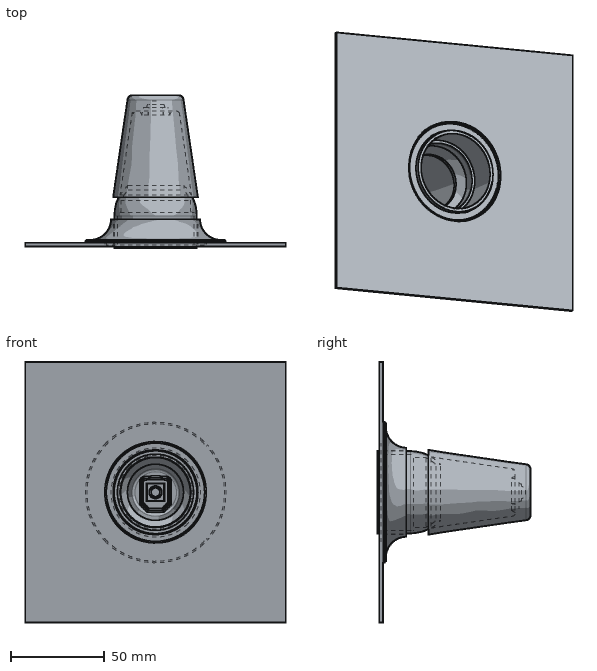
import cadquery as cq
import math


plate_side = 140.16
plate_thickness = 2.1
plate_front = 1.0
plate_back = plate_front + plate_thickness
plate_hole_radius = 27.3

flange_bore_radius = 22.65
flange_rim_radius = 37.8
flange_rim_thickness = 1.6
flange_rim_round = 0.8
flange_neck_radius = 24.0
flare_radius = 11.0
spigot_radius = 26.4
spigot_length = 1.1

tube_radius = 22.25
shell_thickness = 1.75
bore_radius = tube_radius - shell_thickness
dome_centre = 17.6
dome_mouth_radius = 15.1
stop_ring_front = 19.4
stop_ring_radius = 18.7
stop_ring_lead_length = 1.2
stop_ring_lead_width = 0.25

cap_front = 27.5
cap_end = 82.5
cap_front_radius = 22.85
cap_end_radius = 14.75
cap_end_round = 3.0
cap_floor = 74.0
cavity_floor_radius = 12.55
cavity_floor_round = 1.6

socket_half_width = 8.55
socket_top = 8.8
socket_top_bulge = 0.6
socket_shoulder = -6.4
socket_bottom = -10.7
socket_bottom_half_width = 4.4
socket_corner_round = 3.0
collar_height = 2.0
collar_slope_run = 1.0
collar_crest_width = 0.05
pocket_floor_depth = 2.0
pocket_slope_run = 0.95
square_side = 9.9
square_draft_run = 0.5
square_depth = 1.5
pin_mouth_radius = 3.4
pin_end_radius = 2.4
pin_depth = 2.0


def turned(profile):
    """Close a profile and turn it fully about the Y axis."""
    return profile.close().revolve(360, (0, 0, 0), (0, 1, 0))


def sphere_y(sphere_radius, radius):
    """Y at which a sphere about the dome centre has the given radius from the axis."""
    return dome_centre + math.sqrt(sphere_radius**2 - radius**2)


def make_plate():
    return (
        cq.Workplane("XZ", origin=(0, plate_back, 0))
        .rect(plate_side, plate_side)
        .circle(plate_hole_radius)
        .extrude(plate_thickness)
    )


def make_flange():
    rim_back = plate_back + flange_rim_thickness
    flare_centre = (flange_neck_radius + flare_radius, rim_back + flare_radius)
    flare_middle = (
        flare_centre[0] - flare_radius * math.cos(math.pi / 4),
        flare_centre[1] - flare_radius * math.sin(math.pi / 4),
    )
    spigot_front = plate_back - spigot_length
    return turned(
        cq.Workplane("XY")
        .moveTo(flange_bore_radius, spigot_front)
        .lineTo(spigot_radius, spigot_front)
        .lineTo(spigot_radius, plate_back)
        .lineTo(flange_rim_radius, plate_back)
        .lineTo(flange_rim_radius, rim_back - flange_rim_round)
        .lineTo(flange_rim_radius - flange_rim_round, rim_back)
        .lineTo(flare_centre[0], rim_back)
        .threePointArc(flare_middle, (flange_neck_radius, flare_centre[1]))
        .lineTo(flange_bore_radius, flare_centre[1])
    )


def make_dome_tube():
    """Front tube closed by a spherical shell that is open at its mouth."""
    outer_mouth = sphere_y(tube_radius, dome_mouth_radius)
    inner_mouth = sphere_y(bore_radius, dome_mouth_radius)
    ring_back = sphere_y(bore_radius, stop_ring_radius)
    outer_bend = math.asin(dome_mouth_radius / tube_radius) / 2 + math.pi / 4
    inner_bend_radius = (dome_mouth_radius + stop_ring_radius) / 2
    return turned(
        cq.Workplane("XY")
        .moveTo(bore_radius, 0)
        .lineTo(tube_radius, 0)
        .lineTo(tube_radius, dome_centre)
        .threePointArc(
            (tube_radius * math.sin(outer_bend), dome_centre + tube_radius * math.cos(outer_bend)),
            (dome_mouth_radius, outer_mouth),
        )
        .lineTo(dome_mouth_radius, inner_mouth)
        .threePointArc(
            (inner_bend_radius, sphere_y(bore_radius, inner_bend_radius)),
            (stop_ring_radius, ring_back),
        )
        .lineTo(stop_ring_radius, stop_ring_front + stop_ring_lead_length)
        .lineTo(stop_ring_radius + stop_ring_lead_width, stop_ring_front)
        .lineTo(bore_radius, stop_ring_front)
    )


def make_cap():
    """Tapered cup, open at the front, whose wall taper is the same inside and out."""
    taper = (cap_front_radius - cap_end_radius) / (cap_end - cap_front)
    cavity_front_radius = cavity_floor_radius + taper * (cap_floor - cap_front)
    cup = turned(
        cq.Workplane("XY")
        .moveTo(0, cap_front)
        .lineTo(cap_front_radius, cap_front)
        .lineTo(cap_end_radius, cap_end)
        .lineTo(0, cap_end)
    )
    cavity = turned(
        cq.Workplane("XY")
        .moveTo(0, cap_front)
        .lineTo(cavity_front_radius, cap_front)
        .lineTo(cavity_floor_radius, cap_floor)
        .lineTo(0, cap_floor)
    )
    cup = cup.faces(">Y").edges().fillet(cap_end_round)
    cavity = cavity.faces(">Y").edges().fillet(cavity_floor_round)
    return cup.cut(cavity)


def socket_outline(y, inset):
    """Wire in the plane at y: crowned top, rounded upper and cut-off lower corners, moved in by inset."""
    corner_z = socket_top - socket_top_bulge
    block = (
        cq.Workplane("XZ", origin=(0, y, 0))
        .moveTo(-socket_half_width, corner_z)
        .lineTo(-socket_half_width, socket_shoulder)
        .lineTo(-socket_bottom_half_width, socket_bottom)
        .lineTo(socket_bottom_half_width, socket_bottom)
        .lineTo(socket_half_width, socket_shoulder)
        .lineTo(socket_half_width, corner_z)
        .threePointArc((0, socket_top), (-socket_half_width, corner_z))
        .close()
        .extrude(-collar_height)
    )
    upper_corners = block.edges("|Y").edges(">Z")
    outline = upper_corners.fillet(socket_corner_round).faces("<Y").wires().val()
    return outline.offset2D(-inset)[0] if inset else outline


def square_outline(y, side):
    return cq.Workplane("XZ", origin=(0, y, 0)).rect(side, side).val()


def loft(front_outline, back_outline):
    return cq.Workplane(cq.Solid.makeLoft([front_outline, back_outline], True))


def add_socket(body):
    """Add the sloped collar and cut the pocket, square recess and tapered pin hole into it in turn."""
    crest_y = cap_floor - collar_height
    pocket_y = cap_floor + pocket_floor_depth
    square_y = pocket_y + square_depth
    pin_y = square_y + pin_depth

    crest_inset = collar_slope_run + collar_crest_width
    collar = loft(socket_outline(crest_y, collar_slope_run), socket_outline(cap_floor, 0))
    pocket = loft(
        socket_outline(crest_y, crest_inset),
        socket_outline(pocket_y, crest_inset + pocket_slope_run),
    )
    square = loft(
        square_outline(pocket_y, square_side),
        square_outline(square_y, square_side - 2 * square_draft_run),
    )
    pin_hole = turned(
        cq.Workplane("XY")
        .moveTo(0, square_y)
        .lineTo(pin_mouth_radius, square_y)
        .lineTo(pin_end_radius, pin_y)
        .lineTo(0, pin_y)
    )
    return body.union(collar).cut(pocket).cut(square).cut(pin_hole)


nozzle = add_socket(make_dome_tube().union(make_cap()))
result = cq.Compound.makeCompound([make_plate().val(), make_flange().val(), nozzle.val()])